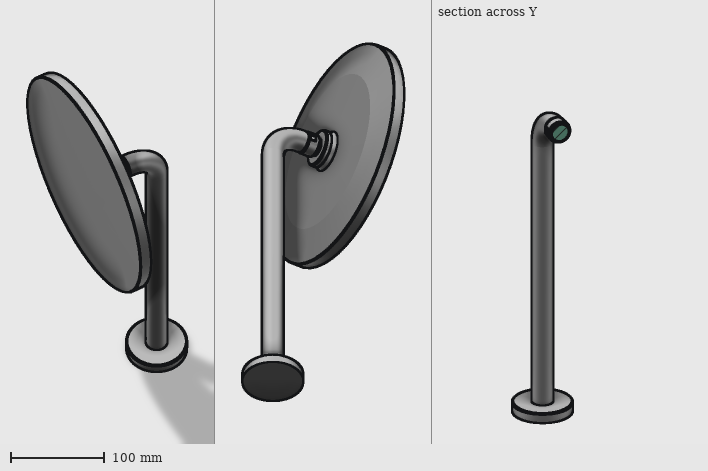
import cadquery as cq
import math

total_height = 473.5
head_diameter = 250.0
total_depth = 123.5

base_diameter = 65.5
base_height = 11.5
base_chamfer = 1.5

pole_radius = 12.0
bend_radius = 34.5

groove_start = 38.0
groove_radius = 11.0
nut_start = 39.5
nut_end = 51.5
nut_radius = 12.5
nut_chamfer = 1.0
neck_radius = 10.0
collar_start = 55.0
collar_radius = 20.5
collar_chamfer = 1.5
collar_end = 61.5
waist_radius = 19.5
flare_radius = 22.3

recess_distance = 43.5
recess_side = 6.5
recess_depth = 1.5

back_crown = 67.0
back_dome_radius = 87.5
back_dome_drop = 1.5
rim_back = 75.5
rim_straight_start = 76.0
rim_step = 1.0
rim_front = 89.0
front_bevel = 1.0

head_radius = head_diameter / 2
head_height = total_height - head_radius
front_crown = total_depth - base_diameter / 2
bend_start_height = head_height - bend_radius


def halfway_point(rim_radius, crown, rim):
    """Point at half the rim radius on a spherical dome between crown and rim distances."""
    drop = abs(rim - crown)
    sphere_radius = (rim_radius**2 + drop**2) / (2 * drop)
    middle = rim_radius / 2
    sag = sphere_radius - math.sqrt(sphere_radius**2 - middle**2)
    return (middle, crown + math.copysign(sag, rim - crown))


def revolve_forward(profile):
    """Turn a (radius, forward distance) profile about the head axis."""
    solid = profile.close().revolve(360, (0, 0), (0, 1))
    return solid.mirror("XZ").translate((0, 0, head_height))


def make_base():
    disc = cq.Workplane("XY").circle(base_diameter / 2).extrude(base_height)
    return disc.faces(">Z").edges().chamfer(base_chamfer)


def make_pole():
    upright = cq.Workplane("XY").circle(pole_radius).extrude(bend_start_height)
    elbow = (
        cq.Workplane("XY", origin=(0, 0, bend_start_height))
        .circle(pole_radius)
        .revolve(90, (0, -bend_radius, 0), (1, -bend_radius, 0))
    )
    return upright.union(elbow)


def make_fitting():
    profile = cq.Workplane("XY").polyline([
        (0, bend_radius),
        (pole_radius, bend_radius),
        (pole_radius, groove_start),
        (groove_radius, groove_start),
        (groove_radius, nut_start),
        (nut_radius, nut_start),
        (nut_radius, nut_end - nut_chamfer),
        (nut_radius - nut_chamfer, nut_end),
        (neck_radius, nut_end),
        (neck_radius, collar_start),
        (collar_radius - collar_chamfer, collar_start),
        (collar_radius, collar_start + collar_chamfer),
        (collar_radius, collar_end),
        (waist_radius, collar_end),
        (flare_radius, back_crown),
        (flare_radius, rim_back),
        (0, rim_back),
    ])
    return revolve_forward(profile)


def make_head():
    back_dome_edge = back_crown + back_dome_drop
    face_radius = head_radius - front_bevel
    profile = (
        cq.Workplane("XY")
        .moveTo(0, back_crown)
        .threePointArc(
            halfway_point(back_dome_radius, back_crown, back_dome_edge),
            (back_dome_radius, back_dome_edge),
        )
        .lineTo(head_radius - rim_step, rim_back)
        .lineTo(head_radius, rim_straight_start)
        .lineTo(head_radius, rim_front - front_bevel)
        .lineTo(face_radius, rim_front)
        .threePointArc(halfway_point(face_radius, front_crown, rim_front), (0, front_crown))
    )
    return revolve_forward(profile)


def make_nut_recess():
    return (
        cq.Workplane("YZ", origin=(-nut_radius, -recess_distance, head_height))
        .rect(recess_side, recess_side)
        .extrude(recess_depth)
    )


result = make_base().union(make_pole()).union(make_fitting()).union(make_head())
result = result.cut(make_nut_recess())